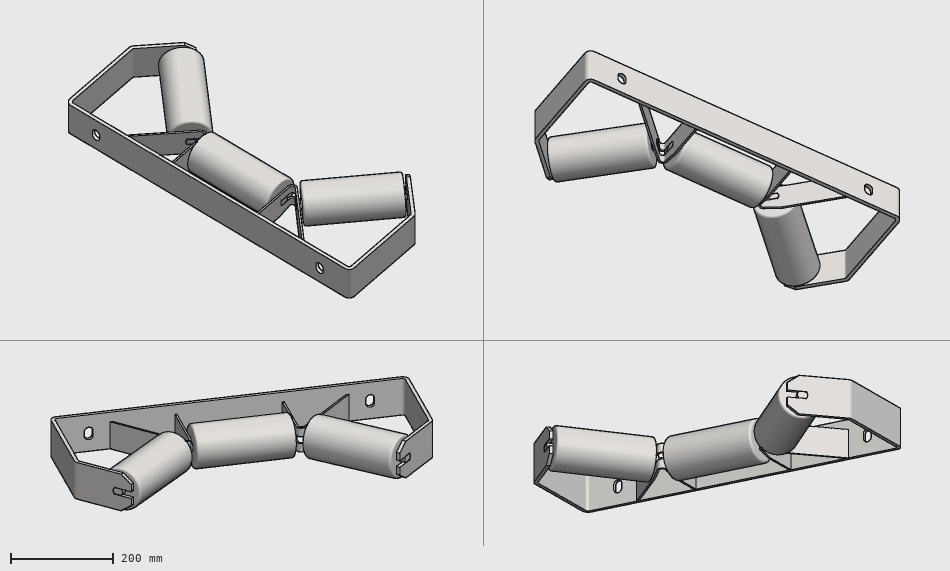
import cadquery as cq
import math

FRAME_LENGTH = 720.0
FRAME_HEIGHT = 80.0
FRAME_THICKNESS = 8.0
FRAME_BEND_RADIUS = 9.0
ARM_BEND_Y = 199.5
ARM_RISE = 90.0
ARM_ANGLE = 45.0
TIP_CHAMFER_LENGTH = 23.0
TIP_CHAMFER_HEIGHT = 16.5
MOUNT_SLOT_X = 283.0
MOUNT_SLOT_WIDTH = 18.0
MOUNT_SLOT_HEIGHT = 27.0
MOUNT_SLOT_Z = 39.0

BRACKET_THICKNESS = 4.0
BRACKET_HEIGHT = 59.0
BRACKET_FACE_X = 106.0
BRACKET_PEAK_Y = 128.0
BRACKET_BEND_RADIUS = 8.0
BRACKET_TAPER_LENGTH = 32.5
BRACKET_TAPER_HEIGHT = 7.0

ROLLER_DIAMETER = 89.0
ROLLER_LENGTH = 200.0
ROLLER_FILLET = 5.0
SHAFT_DIAMETER = 20.0
SHAFT_FLATS = 14.0
SHAFT_COLLAR = 3.0
CENTER_ROLLER_Y = 101.0
SIDE_ROLLER_X = 212.0
SIDE_ROLLER_Y = 188.0
CENTER_SHAFT_LENGTH = 219.5
SIDE_SHAFT_LENGTH = 225.0

SLOT_CLEARANCE = 0.35
SLOT_WIDTH = SHAFT_FLATS + 2 * SLOT_CLEARANCE
SLOT_END_RADIUS = SHAFT_DIAMETER / 2 + SLOT_CLEARANCE
FRAME_SLOT_Z = FRAME_HEIGHT / 2
BRACKET_SLOT_Z = 33.0

COS = math.cos(math.radians(ARM_ANGLE))
SIN = math.sin(math.radians(ARM_ANGLE))
BEND_SETBACK = math.tan(math.radians(ARM_ANGLE / 2))
ARM_DIRECTION = cq.Vector(COS, SIN, 0)
ARM_NORMAL = cq.Vector(SIN, -COS, 0)


def bent_strip(points, bend_radius, thickness, height):
    """Upright strip whose mid-line follows the points, rounded at every inner one."""
    path = cq.Wire.makePolygon([cq.Vector(x, y, height / 2) for x, y in points])
    path = path.fillet2D(bend_radius, path.Vertices()[1:-1])
    start = path.startPoint()
    heading = cq.Vector(*points[1], height / 2) - start
    section = cq.Plane(origin=start, xDir=(0, 0, 1), normal=heading)
    return cq.Workplane(section).rect(height, thickness).sweep(cq.Workplane(path))


def shaft_slot(plane, reach, depth):
    """Cutter for a slot with a rounded blind end, open along the plane's +x."""
    half = SLOT_WIDTH / 2
    corner = -math.sqrt(SLOT_END_RADIUS**2 - half**2)
    return (
        cq.Workplane(plane)
        .moveTo(reach, half)
        .lineTo(corner, half)
        .threePointArc((-SLOT_END_RADIUS, 0), (corner, -half))
        .lineTo(reach, -half)
        .close()
        .extrude(depth / 2, both=True)
    )


def corner_cut(plane, length, height, side, depth):
    """Triangular cutter at the plane's origin, running back along -x and inwards in y."""
    return (
        cq.Workplane(plane)
        .polyline([(0, 0), (-length, 0), (0, -side * height)])
        .close()
        .extrude(depth, both=True)
    )


def mirrored(body):
    return body.mirror("YZ")


def offset_along_normal(point):
    """Plan distance of a point from the origin, measured along the arm normal."""
    return point[0] * ARM_NORMAL.x + point[1] * ARM_NORMAL.y


wall_x = -FRAME_LENGTH / 2
upright_mid_x = -BRACKET_FACE_X - BRACKET_THICKNESS / 2
arm_mid_offset = offset_along_normal((wall_x, ARM_BEND_Y)) + FRAME_THICKNESS / 2
bracket_arc_x = upright_mid_x - BRACKET_BEND_RADIUS
bracket_arc_y = BRACKET_PEAK_Y - BRACKET_THICKNESS / 2 - BRACKET_BEND_RADIUS
slope_mid_offset = offset_along_normal((bracket_arc_x, bracket_arc_y)) - BRACKET_BEND_RADIUS
side_roller_plan = cq.Vector(-SIDE_ROLLER_X, SIDE_ROLLER_Y, 0)
side_roller_offset = offset_along_normal(side_roller_plan.toTuple())
fall_per_length = (FRAME_SLOT_Z - BRACKET_SLOT_Z) / (slope_mid_offset - arm_mid_offset)


def on_side_axis(offset):
    """Point of the left roller's axis at the given offset along the arm normal."""
    plan = side_roller_plan + ARM_NORMAL * (offset - side_roller_offset)
    return plan + cq.Vector(0, 0, FRAME_SLOT_Z - fall_per_length * (offset - arm_mid_offset))


def make_frame():
    half = FRAME_THICKNESS / 2
    mid_x = FRAME_LENGTH / 2 - half
    bend_y = ARM_BEND_Y - half * BEND_SETBACK
    tip_x = FRAME_LENGTH / 2 - ARM_RISE * COS / SIN - half * SIN
    tip_y = ARM_BEND_Y + ARM_RISE - half * COS
    right_side = [(mid_x, half), (mid_x, bend_y), (tip_x, tip_y)]
    left_side = [(-x, y) for x, y in reversed(right_side)]
    frame = bent_strip(left_side + right_side, FRAME_BEND_RADIUS, FRAME_THICKNESS, FRAME_HEIGHT)

    slot_plane = cq.Plane(origin=on_side_axis(arm_mid_offset), xDir=ARM_DIRECTION, normal=ARM_NORMAL)
    cuts = [shaft_slot(slot_plane, ARM_RISE, 2 * FRAME_THICKNESS)]
    top_and_bottom = ((FRAME_HEIGHT, 1), (0, -1))
    for z, side in top_and_bottom:
        plane = cq.Plane(origin=(-tip_x, tip_y, z), xDir=ARM_DIRECTION, normal=ARM_NORMAL)
        cuts.append(corner_cut(plane, TIP_CHAMFER_LENGTH, TIP_CHAMFER_HEIGHT, side, FRAME_THICKNESS))
    for cut in cuts:
        frame = frame.cut(cut).cut(mirrored(cut))

    mount_slots = (
        cq.Workplane("XZ", origin=(0, 0, MOUNT_SLOT_Z))
        .pushPoints([(-MOUNT_SLOT_X, 0), (MOUNT_SLOT_X, 0)])
        .slot2D(MOUNT_SLOT_HEIGHT, MOUNT_SLOT_WIDTH, 90)
        .extrude(-FRAME_THICKNESS)
    )
    return frame.cut(mount_slots)


def taper_cut(plane):
    """Cutter under one leg, rising to the bend at the plane's origin and level beyond it."""
    bend_reach = 2 * BRACKET_BEND_RADIUS
    return (
        cq.Workplane(plane)
        .moveTo(-BRACKET_TAPER_LENGTH, 0)
        .lineTo(0, BRACKET_TAPER_HEIGHT)
        .lineTo(bend_reach, BRACKET_TAPER_HEIGHT)
        .lineTo(bend_reach, 0)
        .close()
        .extrude(2 * BRACKET_THICKNESS, both=True)
    )


def make_left_bracket():
    peak_y = (upright_mid_x * SIN - slope_mid_offset) / COS
    foot_x = upright_mid_x - peak_y * COS / SIN
    strip = bent_strip(
        [(upright_mid_x, 0), (upright_mid_x, peak_y), (foot_x, 0)],
        BRACKET_BEND_RADIUS, BRACKET_THICKNESS, BRACKET_HEIGHT,
    )
    base = cq.Workplane().box(FRAME_LENGTH, 2 * FRAME_THICKNESS, 2 * BRACKET_HEIGHT)
    strip = strip.cut(base)

    upright_plane = cq.Plane(
        origin=(upright_mid_x, CENTER_ROLLER_Y, BRACKET_SLOT_Z), xDir=(0, 1, 0), normal=(1, 0, 0)
    )
    slope_plane = cq.Plane(
        origin=on_side_axis(slope_mid_offset), xDir=ARM_DIRECTION, normal=ARM_NORMAL
    )
    for plane in (upright_plane, slope_plane):
        strip = strip.cut(shaft_slot(plane, BRACKET_PEAK_Y, 4 * BRACKET_THICKNESS))

    upright_end = cq.Vector(upright_mid_x, bracket_arc_y, 0)
    slope_end = cq.Vector(bracket_arc_x, bracket_arc_y, 0) - ARM_NORMAL * BRACKET_BEND_RADIUS
    upright_taper = taper_cut(cq.Plane(origin=upright_end, xDir=(0, 1, 0), normal=(1, 0, 0)))
    slope_taper = taper_cut(cq.Plane(origin=slope_end, xDir=ARM_DIRECTION, normal=ARM_NORMAL))
    strip = strip.cut(upright_taper).cut(slope_taper)
    return strip


def bar_along_x(diameter, length):
    return cq.Workplane("YZ", origin=(-length / 2, 0, 0)).circle(diameter / 2).extrude(length)


def make_roller(shaft_length):
    round_length = ROLLER_LENGTH + 2 * SHAFT_COLLAR
    shell = bar_along_x(ROLLER_DIAMETER, ROLLER_LENGTH).edges("%CIRCLE").fillet(ROLLER_FILLET)
    collar = bar_along_x(SHAFT_DIAMETER, round_length)
    flats = cq.Workplane().box(shaft_length, SHAFT_DIAMETER, SHAFT_FLATS)
    shaft_ends = bar_along_x(SHAFT_DIAMETER, shaft_length).intersect(flats)
    return shell.union(collar).union(shaft_ends)


def make_left_roller():
    fall_angle = math.degrees(math.atan(fall_per_length))
    return (
        make_roller(SIDE_SHAFT_LENGTH)
        .rotate((0, 0, 0), (0, 1, 0), fall_angle)
        .rotate((0, 0, 0), (0, 0, 1), -ARM_ANGLE)
        .translate(on_side_axis(side_roller_offset))
    )


frame = make_frame()
left_bracket = make_left_bracket()
left_roller = make_left_roller()
center_roller = make_roller(CENTER_SHAFT_LENGTH).translate((0, CENTER_ROLLER_Y, BRACKET_SLOT_Z))
brackets = [left_bracket, mirrored(left_bracket)]
side_rollers = [left_roller, mirrored(left_roller)]

bodies = [frame, *brackets, center_roller, *side_rollers]
result = cq.Compound.makeCompound([body.val() for body in bodies])